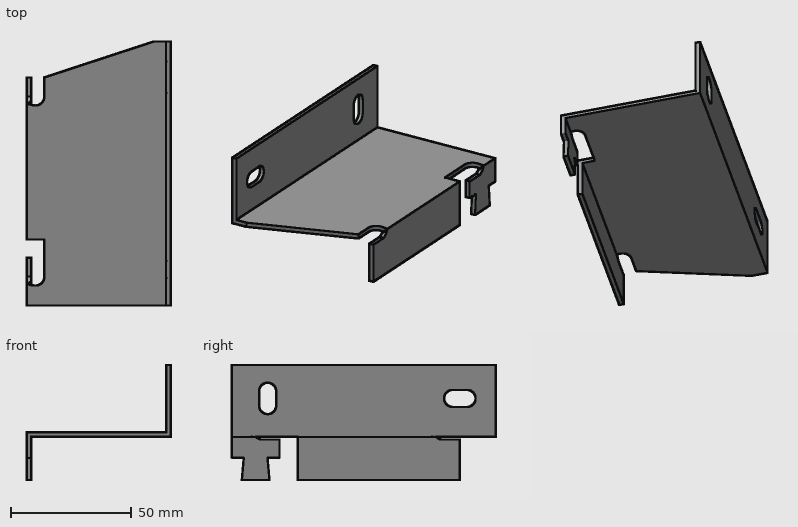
import cadquery as cq
import math

thickness = 2.0
width_x = 60.0
length_y = 110.0
height_z = 48.0
plate_top = 20.0
plate_bottom = plate_top - thickness

panel_start = 27.5
panel_end = 95.0
tab_end = 20.0

shoulder_z = 9.3
neck_top_width = 10.0
neck_bottom_width = 11.6
neck_y = tab_end / 2
tab_corner_radius = 0.35

bevel_end_x = 53.0

bend_size = 3.0
bend_flat_length = 3.0
relief_length = 8.0
relief_radius = 3.65
relief_x = bend_size - bend_flat_length + 2 * relief_radius
relief_z = plate_top - bend_size

slot_width = 7.0
slot_length = 13.0
slot_margin = 15.0
slot_z = (plate_top + height_z) / 2


def relief_y(end_y, flat_position):
    """Y of the round relief end at a distance measured across the unfolded slot."""
    offset = flat_position - relief_radius
    return end_y - relief_length - math.sqrt(relief_radius**2 - offset**2)


def prism_along_y(points):
    """Extrude an XZ outline over the whole length of the part."""
    return cq.Workplane("XZ").polyline(points).close().extrude(-length_y)


def plate_relief(end_y):
    """Part of a relief slot lying in the plate, with its edge stretched over the bend."""
    arc_start_y = end_y - relief_length
    past_bend = relief_radius / 2
    corner_flat = bend_flat_length / 2
    bend_middle_flat = (corner_flat + bend_flat_length) / 2
    outline = (
        cq.Workplane("XY")
        .workplane(offset=plate_bottom)
        .moveTo(0, end_y)
        .lineTo(relief_x, end_y)
        .lineTo(relief_x, arc_start_y)
        .threePointArc(
            (bend_size + past_bend, relief_y(end_y, bend_flat_length + past_bend)),
            (bend_size, relief_y(end_y, bend_flat_length)),
        )
        .threePointArc(
            (bend_size / 2, relief_y(end_y, bend_middle_flat)),
            (0, relief_y(end_y, corner_flat)),
        )
        .close()
    )
    return outline.extrude(thickness)


def flange_relief(end_y):
    """Part of a relief slot lying in the lower flange, above the tab or panel."""
    corner_flat = bend_flat_length / 2
    outline = (
        cq.Workplane("YZ")
        .moveTo(end_y, plate_top)
        .lineTo(end_y, relief_z)
        .lineTo(end_y - relief_length, relief_z)
        .threePointArc(
            (relief_y(end_y, corner_flat / 2), relief_z + bend_size / 2),
            (relief_y(end_y, corner_flat), plate_top),
        )
        .close()
    )
    return outline.extrude(thickness)


def make_plate():
    """Horizontal plate, mitred at the lower bend, with bevel, gap and reliefs."""
    plate = prism_along_y([
        (0, plate_top),
        (width_x, plate_top),
        (width_x, plate_bottom),
        (thickness, plate_bottom),
    ])
    bevel = (
        cq.Workplane("XY")
        .workplane(offset=plate_bottom)
        .polyline([
            (0, panel_end),
            (relief_x, panel_end),
            (bevel_end_x, length_y),
            (0, length_y),
        ])
        .close()
        .extrude(thickness)
    )
    gap = cq.Workplane("XY").box(
        relief_x, panel_start - tab_end, thickness, centered=False
    ).translate((0, tab_end, plate_bottom))
    plate = plate.cut(bevel).cut(gap)
    for end_y in (tab_end, panel_end):
        plate = plate.cut(plate_relief(end_y))
    return plate


def make_tab_outline():
    """Hooked tab with a flared neck and softened shoulder corners."""
    shoulders = (
        cq.Workplane("YZ")
        .rect(tab_end, plate_top - shoulder_z)
        .extrude(thickness)
        .translate((0, neck_y, (plate_top + shoulder_z) / 2))
    )
    neck = (
        cq.Workplane("YZ")
        .polyline([
            (neck_y - neck_top_width / 2, shoulder_z),
            (neck_y + neck_top_width / 2, shoulder_z),
            (neck_y + neck_bottom_width / 2, 0),
            (neck_y - neck_bottom_width / 2, 0),
        ])
        .close()
        .extrude(thickness)
    )
    tab = shoulders.union(neck)
    shoulder_corners = cq.selectors.BoxSelector(
        (-thickness, -thickness, shoulder_z - tab_corner_radius),
        (2 * thickness, tab_end + thickness, shoulder_z + tab_corner_radius),
    )
    return tab.edges("|X").edges(shoulder_corners).fillet(tab_corner_radius)


def make_lower_flange():
    """Panel and tab hanging from the plate, mitred to meet it at the bend."""
    panel = cq.Workplane("XY").box(
        thickness, panel_end - panel_start, plate_top, centered=False
    ).translate((0, panel_start, 0))
    flange = panel.union(make_tab_outline())
    mitred_strip = prism_along_y([
        (0, 0),
        (0, plate_top),
        (thickness, plate_bottom),
        (thickness, 0),
    ])
    flange = flange.intersect(mitred_strip)
    for end_y in (tab_end, panel_end):
        flange = flange.cut(flange_relief(end_y))
    return flange


def mounting_slot(center_y, angle):
    """Cutter for a mounting slot; angle 0 lies along Y and 90 along Z."""
    return (
        cq.Workplane("YZ")
        .workplane(offset=width_x - thickness)
        .center(center_y, slot_z)
        .slot2D(slot_length, slot_width, angle)
        .extrude(thickness)
    )


def make_upper_flange():
    """Upright flange along the far edge of the plate, with two mounting slots."""
    flange = cq.Workplane("XY").box(
        thickness, length_y, height_z - plate_bottom, centered=False
    ).translate((width_x - thickness, 0, plate_bottom))
    flange = flange.cut(mounting_slot(slot_margin, 90))
    return flange.cut(mounting_slot(length_y - slot_margin, 0))


result = make_plate().union(make_lower_flange()).union(make_upper_flange())